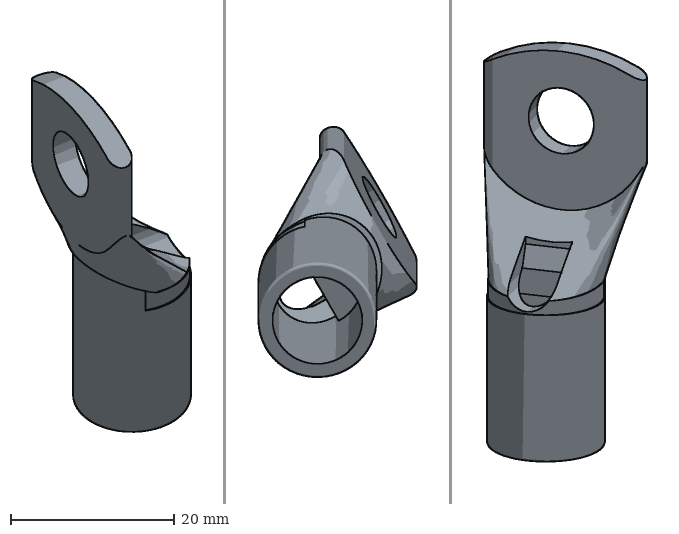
import cadquery as cq
import math

TOTAL_HEIGHT = 49.0
TONGUE_WIDTH = 21.0
TONGUE_THICKNESS = 3.2
BARREL_DIAMETER = 14.5
BORE_DIAMETER = 11.0
PART_DEPTH = 15.95
END_FILLET = 0.35

STUD_HOLE_DIAMETER = 8.5
STUD_HOLE_HEIGHT = 40.0
TONGUE_CROWN_RADIUS = 20.3
TONGUE_LOWER_RADIUS = 11.5

BARREL_BACK_HEIGHT = 19.05
SHOULDER_BACK_HEIGHT = 20.82
SHOULDER_FRONT_HEIGHT = 25.2
SHOULDER_FOLD_Y = -0.8
SHOULDER_FOLD_HEIGHT = 21.55
SHOULDER_FRONT_LIP = 0.75
NECK_INSET = 0.15
NECK_FRONT_Y = -2.1
TRANSITION_CORNER_ANGLE = 45.0

SLOT_WIDTH = 6.1
SLOT_BOTTOM_HEIGHT = 19.35
SLOT_FRONT_TOP_Y = -1.1
SLOT_FRONT_TOP_HEIGHT = 25.15
CAVITY_FRONT_Y = 0.1

barrel_radius = BARREL_DIAMETER / 2
bore_radius = BORE_DIAMETER / 2
neck_radius = barrel_radius - NECK_INSET
slot_radius = SLOT_WIDTH / 2
slot_centre_height = SLOT_BOTTOM_HEIGHT + slot_radius
tongue_front_y = barrel_radius - PART_DEPTH
tongue_middle_y = tongue_front_y + TONGUE_THICKNESS / 2
shoulder_back_y = neck_radius
shoulder_front_y = -barrel_radius - SHOULDER_FRONT_LIP


def cylinder_along_y(radius, height):
    """Cylinder through the whole depth, parallel to Y and centred at X = 0."""
    return (
        cq.Workplane("XZ")
        .center(0, height)
        .circle(radius)
        .extrude(PART_DEPTH, both=True)
    )


def extrude_side_profile(points, width):
    """Prism of a (Y, Z) outline, centred on X = 0."""
    return cq.Workplane("YZ").polyline(points).close().extrude(width / 2, both=True)


def make_tongue():
    blank = (
        cq.Workplane("XY")
        .center(0, tongue_middle_y)
        .slot2D(TONGUE_WIDTH, TONGUE_THICKNESS)
        .extrude(TOTAL_HEIGHT)
    )
    crown = cylinder_along_y(TONGUE_CROWN_RADIUS, TOTAL_HEIGHT - TONGUE_CROWN_RADIUS)
    upper_block = (
        cq.Workplane("XY")
        .workplane(offset=STUD_HOLE_HEIGHT)
        .rect(2 * TONGUE_WIDTH, 2 * PART_DEPTH)
        .extrude(TOTAL_HEIGHT)
    )
    lower_disc = cylinder_along_y(TONGUE_LOWER_RADIUS, STUD_HOLE_HEIGHT)
    return blank.intersect(lower_disc.union(upper_block)).intersect(crown)


def make_shoulder_arc(tip_y, tip_height, start_angle, end_angle):
    """Arc of a half ellipse from the shoulder fold (0 and 180 degrees) over its tip (90 degrees)."""
    run = tip_y - SHOULDER_FOLD_Y
    rise = tip_height - SHOULDER_FOLD_HEIGHT
    turn = 1 if end_angle > start_angle else -1
    return cq.Edge.makeEllipse(
        math.hypot(run, rise),
        barrel_radius,
        cq.Vector(0, SHOULDER_FOLD_Y, SHOULDER_FOLD_HEIGHT),
        cq.Vector(0, -rise, run) * turn,
        cq.Vector(0, run, rise),
        turn * (start_angle - 90),
        turn * (end_angle - 90),
    )


def make_skin(upper_edge, tip_y, tip_height, start_angle, end_angle):
    """Ruled face between an edge of the tongue and an arc of the shoulder."""
    arcs = [
        make_shoulder_arc(tip_y, tip_height, start_angle, end_angle),
        make_shoulder_arc(tip_y, tip_height, end_angle, start_angle),
    ]
    skins = [cq.Face.makeRuledSurface(arc, upper_edge) for arc in arcs]
    return min(skins, key=lambda skin: sum(edge.Length() for edge in skin.Edges()))


def make_transition(tongue):
    """Ruled skin from the folded shoulder outline to the lower edge of the tongue."""
    back_tip = (shoulder_back_y, SHOULDER_BACK_HEIGHT)
    front_tip = (shoulder_front_y, SHOULDER_FRONT_HEIGHT)
    corner = TRANSITION_CORNER_ANGLE
    back_ranges = {"right": (0, corner), "back": (corner, 180 - corner), "left": (180 - corner, 180)}
    upper_cap = tongue.faces("<Z").val()
    faces = [upper_cap]
    for upper_edge in upper_cap.Edges():
        centre = upper_edge.Center()
        if centre.x > TONGUE_WIDTH / 4:
            faces.append(make_skin(upper_edge, *back_tip, *back_ranges["right"]))
        elif centre.x < -TONGUE_WIDTH / 4:
            faces.append(make_skin(upper_edge, *back_tip, *back_ranges["left"]))
        elif centre.y > tongue_middle_y:
            faces.append(make_skin(upper_edge, *back_tip, *back_ranges["back"]))
        else:
            faces.append(make_skin(upper_edge, *front_tip, 0, 180))

    fold = cq.Edge.makeLine(
        cq.Vector(-barrel_radius, SHOULDER_FOLD_Y, SHOULDER_FOLD_HEIGHT),
        cq.Vector(barrel_radius, SHOULDER_FOLD_Y, SHOULDER_FOLD_HEIGHT),
    )
    back_arcs = [make_shoulder_arc(*back_tip, *angles) for angles in back_ranges.values()]
    front_arc = make_shoulder_arc(*front_tip, 0, 180)
    faces.append(cq.Face.makeFromWires(cq.Wire.assembleEdges([*back_arcs, fold])))
    faces.append(cq.Face.makeFromWires(cq.Wire.assembleEdges([front_arc, fold])))
    return cq.Workplane(obj=cq.Solid.makeSolid(cq.Shell.makeShell(faces)))


def make_barrel():
    """Tube blank with a full-radius front and a slightly slimmer neck at the back."""
    base = (
        cq.Workplane("XY")
        .circle(barrel_radius)
        .extrude(BARREL_BACK_HEIGHT)
        .faces("<Z")
        .edges()
        .fillet(END_FILLET)
    )
    front_limit = cq.Workplane("XY").box(
        BARREL_DIAMETER, BARREL_DIAMETER, TOTAL_HEIGHT, centered=(True, False, False)
    ).translate((0, NECK_FRONT_Y - BARREL_DIAMETER, 0))
    below_shoulder = extrude_side_profile(
        [
            (shoulder_back_y, END_FILLET),
            (shoulder_back_y, SHOULDER_BACK_HEIGHT),
            (SHOULDER_FOLD_Y, SHOULDER_FOLD_HEIGHT),
            (shoulder_front_y, SHOULDER_FRONT_HEIGHT),
            (shoulder_front_y, END_FILLET),
        ],
        BARREL_DIAMETER,
    )
    front = cq.Workplane("XY").circle(barrel_radius).extrude(TOTAL_HEIGHT).intersect(front_limit)
    neck = cq.Workplane("XY").circle(neck_radius).extrude(TOTAL_HEIGHT)
    return base.union(front.intersect(below_shoulder)).union(neck.intersect(below_shoulder))


def make_cavity():
    """Barrel bore with a sloping roof over its back half."""
    bore = cq.Workplane("XY").circle(bore_radius).extrude(BARREL_BACK_HEIGHT)
    roof = extrude_side_profile(
        [
            (bore_radius, BARREL_BACK_HEIGHT),
            (CAVITY_FRONT_Y, slot_centre_height),
            (CAVITY_FRONT_Y, BARREL_BACK_HEIGHT),
        ],
        BORE_DIAMETER,
    )
    bore_column = cq.Workplane("XY").circle(bore_radius).extrude(TOTAL_HEIGHT)
    return bore.union(roof.intersect(bore_column))


def make_slot():
    """Round-bottomed slot open to the back, with a sloping front end."""
    channel = cylinder_along_y(slot_radius, slot_centre_height).union(
        cq.Workplane("XY")
        .workplane(offset=slot_centre_height)
        .rect(SLOT_WIDTH, 2 * PART_DEPTH)
        .extrude(TOTAL_HEIGHT)
    )
    side_limit = extrude_side_profile(
        [
            (PART_DEPTH, 0),
            (CAVITY_FRONT_Y, 0),
            (CAVITY_FRONT_Y, slot_centre_height),
            (SLOT_FRONT_TOP_Y, SLOT_FRONT_TOP_HEIGHT),
            (SLOT_FRONT_TOP_Y, TOTAL_HEIGHT),
            (PART_DEPTH, TOTAL_HEIGHT),
        ],
        2 * SLOT_WIDTH,
    )
    return channel.intersect(side_limit)


tongue = make_tongue()
body = make_barrel().union(make_transition(tongue)).union(tongue)
stud_hole = cylinder_along_y(STUD_HOLE_DIAMETER / 2, STUD_HOLE_HEIGHT)
result = body.cut(make_cavity()).cut(make_slot()).cut(stud_hole)